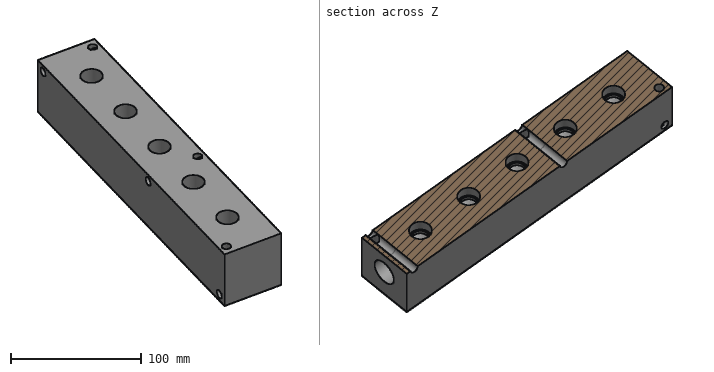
import cadquery as cq
import math

LENGTH = 279.4
SECTION = 50.8
HALF_LENGTH = LENGTH / 2
HALF_SECTION = SECTION / 2

TOP_PORT_COUNT = 5
TOP_PORT_PITCH = 50.8
TOP_PORT_BORE = 17.3
TOP_PORT_BORE_DEPTH = 15.0
TOP_PORT_DRILL = 14.3
TOP_PORT_DRILL_DEPTH = 18.0

END_PORT_BORE = 21.59
END_PORT_BORE_DEPTH = 18.0
END_PORT_DRILL = 17.48
END_PORT_DRILL_DEPTH = 22.0

DRILL_POINT_ANGLE = 118.0

MOUNT_HOLE = 7.14
MOUNT_END_INSET = 7.9
MOUNT_EDGE_INSET = 6.35
MIDDLE_MOUNT_DISTANCE = 165.1

mount_edge_offset = HALF_SECTION - MOUNT_EDGE_INSET
MOUNT_POSITIONS = [
    (-HALF_LENGTH + MOUNT_END_INSET, mount_edge_offset),
    (-HALF_LENGTH + MIDDLE_MOUNT_DISTANCE, mount_edge_offset),
    (HALF_LENGTH - MOUNT_END_INSET, -mount_edge_offset),
]


def port_cutter(bore, bore_depth, drill, drill_depth):
    """Stepped port along -Z with its mouth at the origin, ending in a drill point."""
    bore_radius = bore / 2
    drill_radius = drill / 2
    point_length = drill_radius / math.tan(math.radians(DRILL_POINT_ANGLE / 2))
    half_profile = (
        cq.Workplane("XZ")
        .polyline([
            (0, 0),
            (bore_radius, 0),
            (bore_radius, -bore_depth),
            (drill_radius, -bore_depth),
            (drill_radius, -drill_depth),
            (0, -drill_depth - point_length),
        ])
        .close()
    )
    return half_profile.revolve(360, (0, 0, 0), (0, 1, 0))


def cut_top_ports(body):
    cutter = port_cutter(TOP_PORT_BORE, TOP_PORT_BORE_DEPTH, TOP_PORT_DRILL, TOP_PORT_DRILL_DEPTH)
    first_x = -TOP_PORT_PITCH * (TOP_PORT_COUNT - 1) / 2
    for index in range(TOP_PORT_COUNT):
        port_x = first_x + index * TOP_PORT_PITCH
        body = body.cut(cutter.translate((port_x, 0, HALF_SECTION)))
    return body


def cut_end_port(body):
    cutter = port_cutter(END_PORT_BORE, END_PORT_BORE_DEPTH, END_PORT_DRILL, END_PORT_DRILL_DEPTH)
    cutter = cutter.rotate((0, 0, 0), (0, 1, 0), -90)
    return body.cut(cutter.translate((-HALF_LENGTH, 0, 0)))


def cut_mounting_holes(body):
    for plane in ("XY", "XZ"):
        holes = (
            cq.Workplane(plane)
            .pushPoints(MOUNT_POSITIONS)
            .circle(MOUNT_HOLE / 2)
            .extrude(HALF_SECTION, both=True)
        )
        body = body.cut(holes)
    return body


block = cq.Workplane("XY").box(LENGTH, SECTION, SECTION)
block = cut_top_ports(block)
block = cut_end_port(block)
result = cut_mounting_holes(block)